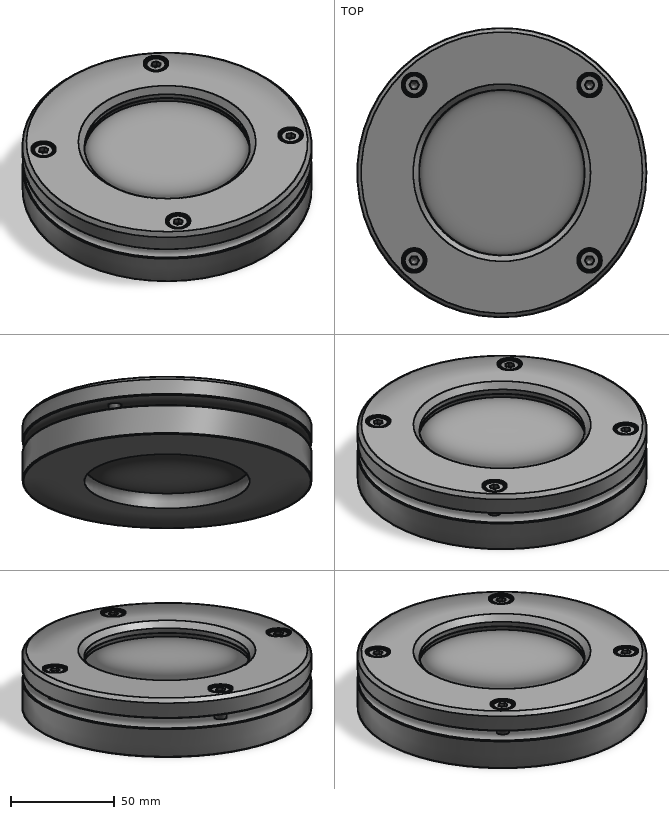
import cadquery as cq
import math


flange_diameter = 140.0
base_height = 15.0
gap_height = 5.0
cover_height = 10.0
opening_diameter = 80.0
opening_chamfer = 3.0
cover_top_chamfer = 2.0
edge_chamfer = 0.5

glass_diameter = 100.0
glass_thickness = 15.0
seal_inner_diameter = 80.5
seal_thickness = 2.0
opening_lip = 5.5

bolt_circle_diameter = 120.0
screw_count = 4
first_screw_angle = 45.0
shank_diameter = 6.0
clearance_diameter = 6.6
head_diameter = 10.0
head_height = 4.0
head_chamfer = 0.5
head_sink = 0.5
counterbore_diameter = 11.0
counterbore_chamfer = 0.5
socket_across_flats = 4.0
socket_depth = 2.8
socket_tip_angle = 120.0
screw_engagement = 9.0

cover_bottom = base_height + gap_height
cover_top = cover_bottom + cover_height
seal_top = cover_top - opening_lip
glass_top = seal_top - seal_thickness
glass_bottom = glass_top - glass_thickness
head_top = cover_top - head_sink
head_seat = head_top - head_height
socket_floor = head_top - socket_depth
screw_tip = base_height - screw_engagement


def cylinder(diameter, bottom, top):
    """Upright cylinder on the central axis between two levels."""
    return cq.Workplane("XY").workplane(offset=bottom).circle(diameter / 2).extrude(top - bottom)


def cone(bottom_diameter, top_diameter, bottom, top):
    """Upright cone on the central axis between two levels."""
    base_point = cq.Vector(0, 0, bottom)
    return cq.Workplane(cq.Solid.makeCone(bottom_diameter / 2, top_diameter / 2, top - bottom, base_point))


def rim_bevel(bore_diameter, size):
    """Cutter for a 45 degree bevel around a bore in the top face of the cover."""
    return cone(bore_diameter, bore_diameter + 2 * size, cover_top - size, cover_top)


def at_screws(shape):
    """List of copies of an axial shape, one at each screw position."""
    radius = bolt_circle_diameter / 2
    copies = []
    for index in range(screw_count):
        angle = math.radians(first_screw_angle + index * 360 / screw_count)
        copies.append(shape.translate((radius * math.cos(angle), radius * math.sin(angle), 0)))
    return copies


def make_base():
    """Lower flange with a stepped bore that seats the glass, and blind screw holes."""
    base = cylinder(flange_diameter, 0, base_height).faces("<Z or >Z").chamfer(edge_chamfer)
    base = base.cut(cylinder(opening_diameter, 0, base_height))
    base = base.cut(cylinder(glass_diameter, glass_bottom, base_height))
    for hole in at_screws(cylinder(shank_diameter, screw_tip, base_height)):
        base = base.cut(hole)
    return base


def make_cover():
    """Upper flange with a bevelled opening, a recess for seal and glass, and counterbored holes."""
    cover = cylinder(flange_diameter, cover_bottom, cover_top)
    cover = cover.faces(">Z").chamfer(cover_top_chamfer)
    cover = cover.faces("<Z").chamfer(edge_chamfer)

    cover = cover.cut(cylinder(opening_diameter, cover_bottom, cover_top))
    cover = cover.cut(rim_bevel(opening_diameter, opening_chamfer))
    cover = cover.cut(cylinder(glass_diameter, cover_bottom, seal_top))

    screw_hole = cylinder(clearance_diameter, cover_bottom, head_seat)
    screw_hole = screw_hole.union(cylinder(counterbore_diameter, head_seat, cover_top))
    screw_hole = screw_hole.union(rim_bevel(counterbore_diameter, counterbore_chamfer))
    for hole in at_screws(screw_hole):
        cover = cover.cut(hole)
    return cover


def make_seal():
    """Flat sealing ring between the cover lip and the glass."""
    return cylinder(glass_diameter, glass_top, seal_top).cut(
        cylinder(seal_inner_diameter, glass_top, seal_top)
    )


def make_glass():
    """Plain glass disc."""
    return cylinder(glass_diameter, glass_bottom, glass_top)


def make_screw():
    """Cap screw on the central axis, its hexagon socket ending in a conical tip."""
    head = cylinder(head_diameter, head_seat, head_top).faces(">Z").chamfer(head_chamfer)
    screw = head.union(cylinder(shank_diameter, screw_tip, head_seat))

    across_corners = socket_across_flats / math.cos(math.radians(30))
    socket_plane = cq.Workplane("XY").workplane(offset=socket_floor)
    socket = socket_plane.polygon(6, across_corners).extrude(socket_depth)

    tip_depth = socket_across_flats / 2 / math.tan(math.radians(socket_tip_angle / 2))
    tip = cone(0, socket_across_flats, socket_floor - tip_depth, socket_floor)
    return screw.cut(socket).cut(tip)


base = make_base()
cover = make_cover()
seal = make_seal()
glass = make_glass()
screws = at_screws(make_screw())

result = cq.Compound.makeCompound(
    [base.val(), cover.val(), seal.val(), glass.val(), *[screw.val() for screw in screws]]
)